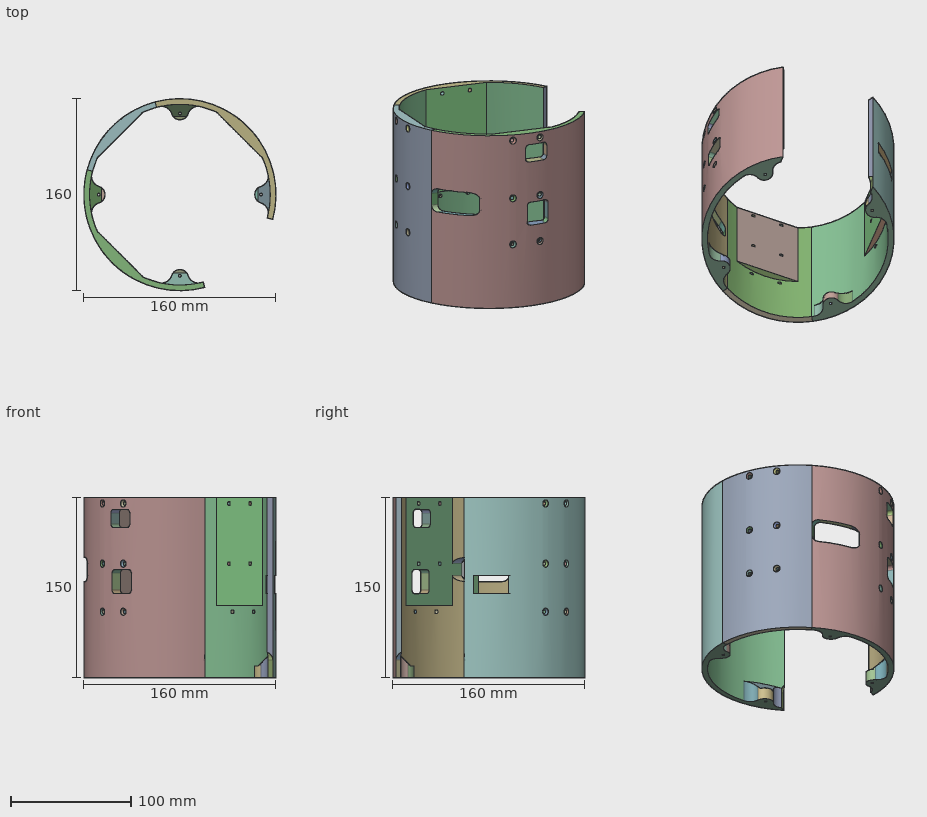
import cadquery as cq
import math


OUTER_RADIUS = 80
WALL = 4.8
INNER_RADIUS = OUTER_RADIUS - WALL
WALL_MIDDLE = OUTER_RADIUS - WALL / 2
HEIGHT = 150.0
LONG_SPAN = 120
SHORT_SPAN = 60
FIRST_START = -15
SHORT_START = FIRST_START + LONG_SPAN
SECOND_START = SHORT_START + SHORT_SPAN

PAD_FACE_RADIUS = 70.0
PAD_HEIGHT = 90.0
PAD_ANGLES = (45, 135, 225)

SCREW_DIAMETER = 3.0
SCREW_HEAD_DIAMETER = 6.0
SCREW_SPACING = 25.0
SCREW_DEPTHS = (5.0, 55.0, 95.0)

TAB_ANGLES = (0, 90, 180, 270)
TAB_TIP_RADIUS = 7.2
TAB_TIP_CENTER = 69.4
TAB_FILLET = 8.8
TAB_LEDGE_HEIGHT = 9.9
TAB_LEDGE_END = 65.1
TAB_SLOPE_ANGLE = 45
TAB_HOLE_DIAMETER = 2.0
TAB_HOLE_CENTER = 67.5

WINDOW_ANGLE = PAD_ANGLES[2]
WINDOW_WIDTH = 20.0
WINDOW_FILLET = 3.0
UPPER_WINDOW_OFFSET = 8.8
UPPER_WINDOW_TOP = 9.9
UPPER_WINDOW_HEIGHT = 15.0
LOWER_WINDOW_OFFSET = 10.2
LOWER_WINDOW_TOP = 60.0
LOWER_WINDOW_HEIGHT = 20.0

SLOT_ANGLE = SHORT_START + SHORT_SPAN / 2
SLOT_WIDTH = 30.0
SLOT_HEIGHT = 20.0
SLOT_TOP = 49.9
SLOT_FILLET = 5.0

OPEN_ANGLE = FIRST_START - SHORT_SPAN / 2
PORT_WIDTH = 20.0
PORT_HEIGHT = 15.0
PORT_TOP = 65.0
PORT_OFFSET = 56.8

GATE_HEIGHT = 25.0
GATE_FILLET = 9.9

HALF_JOINT_CHORD = OUTER_RADIUS * math.sin(math.radians(SHORT_SPAN / 2))


def polar(radius, angle):
    return radius * math.cos(math.radians(angle)), radius * math.sin(math.radians(angle))


def facing_plane(angle):
    """Upright plane through the tube axis: local x tangential, local y up, normal outward at the angle."""
    tangent = (*polar(1, angle + 90), 0)
    outward = (*polar(1, angle), 0)
    return cq.Workplane(cq.Plane((0, 0, 0), tangent, outward))


def sector(start, span):
    """Plain piece of the tube wall."""
    middle, end = start + span / 2, start + span
    return (
        cq.Workplane("XY")
        .moveTo(*polar(OUTER_RADIUS, start))
        .threePointArc(polar(OUTER_RADIUS, middle), polar(OUTER_RADIUS, end))
        .lineTo(*polar(INNER_RADIUS, end))
        .threePointArc(polar(INNER_RADIUS, middle), polar(INNER_RADIUS, start))
        .close()
        .extrude(HEIGHT)
    )


def pad(angle):
    """Thickening of the upper wall, bounded inside by a flat chord face."""
    chord_half_angle = math.degrees(math.acos(PAD_FACE_RADIUS / INNER_RADIUS))
    start, end = angle - chord_half_angle, angle + chord_half_angle
    return (
        cq.Workplane("XY", origin=(0, 0, HEIGHT - PAD_HEIGHT))
        .moveTo(*polar(INNER_RADIUS, start))
        .lineTo(*polar(WALL_MIDDLE, start))
        .threePointArc(polar(WALL_MIDDLE, angle), polar(WALL_MIDDLE, end))
        .lineTo(*polar(INNER_RADIUS, end))
        .close()
        .extrude(PAD_HEIGHT)
    )


def screw_holes(angle):
    """Two columns of countersunk holes, all parallel to the pad normal."""
    side = SCREW_SPACING / 2
    rim_distance = math.sqrt(OUTER_RADIUS**2 - side**2)
    screw_radius = SCREW_DIAMETER / 2
    head_radius = SCREW_HEAD_DIAMETER / 2
    head_depth = head_radius - screw_radius
    inner_end = PAD_FACE_RADIUS - WALL
    outer_end = OUTER_RADIUS + WALL
    cutter = (
        cq.Workplane("XZ")
        .moveTo(0, inner_end)
        .lineTo(screw_radius, inner_end)
        .lineTo(screw_radius, rim_distance - head_depth)
        .lineTo(head_radius, rim_distance)
        .lineTo(head_radius, outer_end)
        .lineTo(0, outer_end)
        .close()
        .revolve(360, (0, 0, 0), (0, 1, 0))
        .val()
    )
    spots = [(s, HEIGHT - depth) for s in (-side, side) for depth in SCREW_DEPTHS]
    return facing_plane(angle).pushPoints(spots).eachpoint(lambda place: cutter.moved(place), True)


def wall_cutter(angle, offset, width, top, height):
    """Box through the wall along the given direction, shifted sideways by the offset."""
    return (
        facing_plane(angle)
        .center(offset, HEIGHT - top - height / 2)
        .rect(width, height)
        .extrude(OUTER_RADIUS + WALL)
    )


def tab_outline(height):
    """Prism of the tab on the +X side: rounded tip with concave fillets into the inner wall."""
    wall_reach = INNER_RADIUS - TAB_FILLET
    tip_reach = TAB_TIP_RADIUS + TAB_FILLET
    fillet_x = (wall_reach**2 - tip_reach**2 + TAB_TIP_CENTER**2) / (2 * TAB_TIP_CENTER)
    fillet_y = math.sqrt(wall_reach**2 - fillet_x**2)

    join_x = TAB_TIP_CENTER + (fillet_x - TAB_TIP_CENTER) * TAB_TIP_RADIUS / tip_reach
    join_y = fillet_y * TAB_TIP_RADIUS / tip_reach
    wall_angle = math.degrees(math.atan2(fillet_y, fillet_x))
    join_angle = math.degrees(math.atan2(join_y - fillet_y, join_x - fillet_x))
    bend_dx, bend_dy = polar(TAB_FILLET, (wall_angle + join_angle) / 2)
    bend_x, bend_y = fillet_x + bend_dx, fillet_y + bend_dy
    wall_x, wall_y = polar(INNER_RADIUS, wall_angle)
    root_x, root_y = polar(WALL_MIDDLE, wall_angle)

    return (
        cq.Workplane("XY")
        .moveTo(root_x, root_y)
        .lineTo(wall_x, wall_y)
        .threePointArc((bend_x, bend_y), (join_x, join_y))
        .threePointArc((TAB_TIP_CENTER - TAB_TIP_RADIUS, 0), (join_x, -join_y))
        .threePointArc((bend_x, -bend_y), (wall_x, -wall_y))
        .lineTo(root_x, -root_y)
        .threePointArc((WALL_MIDDLE, 0), (root_x, root_y))
        .close()
        .extrude(height)
    )


def tab(angle):
    """Foot tab with a level ledge at its tip, a top sloping up to the wall and a vertical hole."""
    slope_rise = (OUTER_RADIUS - TAB_LEDGE_END) * math.tan(math.radians(TAB_SLOPE_ANGLE))
    slope_top = TAB_LEDGE_HEIGHT + slope_rise
    profile = (
        cq.Workplane("XZ")
        .lineTo(0, TAB_LEDGE_HEIGHT)
        .lineTo(TAB_LEDGE_END, TAB_LEDGE_HEIGHT)
        .lineTo(OUTER_RADIUS, slope_top)
        .lineTo(OUTER_RADIUS, 0)
        .close()
        .extrude(OUTER_RADIUS, both=True)
    )
    hole = cq.Workplane("XY").center(TAB_HOLE_CENTER, 0).circle(TAB_HOLE_DIAMETER / 2).extrude(slope_top)
    return tab_outline(slope_top).intersect(profile).cut(hole).rotate((0, 0, 0), (0, 0, 1), angle)


def gate():
    """Bottom opening with rounded upper corners, as wide as the outer chord of the open side."""
    width = 2 * HALF_JOINT_CHORD
    opening = wall_cutter(OPEN_ANGLE, 0, width, HEIGHT - GATE_HEIGHT, 2 * GATE_HEIGHT)
    return opening.edges("|(1,-1,0)").fillet(GATE_FILLET)


def windows():
    """Two rounded rectangular openings, one above the other."""
    upper = wall_cutter(WINDOW_ANGLE, UPPER_WINDOW_OFFSET, WINDOW_WIDTH, UPPER_WINDOW_TOP, UPPER_WINDOW_HEIGHT)
    lower = wall_cutter(WINDOW_ANGLE, LOWER_WINDOW_OFFSET, WINDOW_WIDTH, LOWER_WINDOW_TOP, LOWER_WINDOW_HEIGHT)
    return upper.union(lower).edges("|(1,1,0)").fillet(WINDOW_FILLET)


def slot():
    """Slot whose near side starts at the outer corner of the joint."""
    offset = HALF_JOINT_CHORD + SLOT_WIDTH / 2
    cutter = wall_cutter(SLOT_ANGLE, offset, SLOT_WIDTH, SLOT_TOP, SLOT_HEIGHT)
    return cutter.edges("|(1,-1,0)").fillet(SLOT_FILLET)


def wall_segment(start, span):
    """Wall sector with every pad, screw hole and tab that falls inside its span."""

    def inside(angle):
        return 0 < (angle - start) % 360 < span

    body = sector(start, span)
    for angle in filter(inside, PAD_ANGLES):
        body = body.union(pad(angle)).cut(screw_holes(angle))
    for angle in filter(inside, TAB_ANGLES):
        body = body.union(tab(angle))
    return body


def port_segment():
    """Long sector with the port."""
    port = wall_cutter(OPEN_ANGLE, PORT_OFFSET, PORT_WIDTH, PORT_TOP, PORT_HEIGHT)
    return wall_segment(FIRST_START, LONG_SPAN).cut(port).cut(gate())


def plain_segment():
    """Short sector with one pad."""
    return wall_segment(SHORT_START, SHORT_SPAN)


def window_segment():
    """Long sector with the windows and the slot."""
    return wall_segment(SECOND_START, LONG_SPAN).cut(windows()).cut(slot()).cut(gate())


port_body = port_segment()
plain_body = plain_segment()
window_body = window_segment()

result = cq.Compound.makeCompound([port_body.val(), plain_body.val(), window_body.val()])